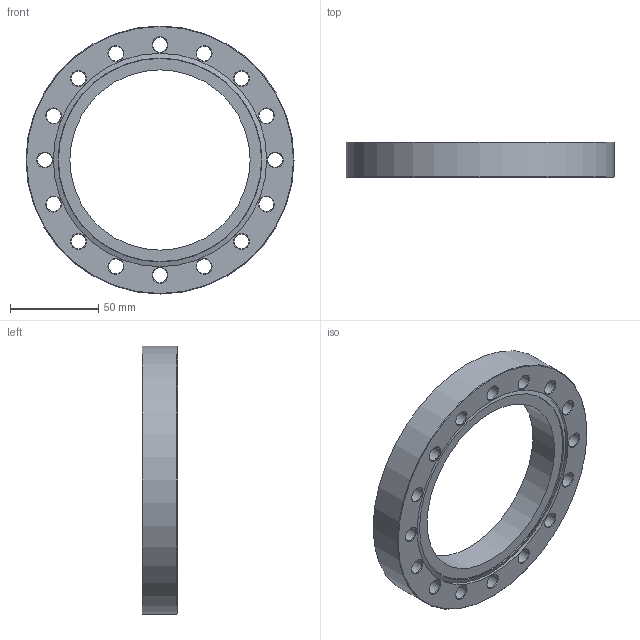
import cadquery as cq

outer_diameter = 151.6
thickness = 19.8
bore_diameter = 102.0
rim_chamfer = 0.3

counterbore_diameter = 106.0
counterbore_depth = 1.05

recess_diameter = 120.7
knife_diameter = 115.3
recess_depth = 1.7
knife_tip_depth = 0.75
knife_back_taper = 0.2
inner_land_depth = 1.35

bolt_count = 16
bolt_circle_diameter = 130.3
bolt_hole_diameter = 8.4
bolt_hole_chamfer = 0.3

front_y = -thickness / 2
back_y = thickness / 2


def flange_body():
    """Revolve the ring section, including the knife edge, about the Y axis."""
    outer_radius = outer_diameter / 2
    bore_radius = bore_diameter / 2
    counterbore_radius = counterbore_diameter / 2
    recess_radius = recess_diameter / 2
    knife_radius = knife_diameter / 2
    section = (
        cq.Workplane("YZ")
        .moveTo(back_y - counterbore_depth, bore_radius)
        .lineTo(back_y - counterbore_depth, counterbore_radius)
        .lineTo(back_y, counterbore_radius)
        .lineTo(back_y, outer_radius)
        .lineTo(front_y + rim_chamfer, outer_radius)
        .lineTo(front_y, outer_radius - rim_chamfer)
        .lineTo(front_y, recess_radius)
        .lineTo(front_y + recess_depth, recess_radius)
        .lineTo(front_y + knife_tip_depth, knife_radius)
        .lineTo(front_y + inner_land_depth, knife_radius - knife_back_taper)
        .lineTo(front_y + inner_land_depth, bore_radius)
        .close()
    )
    return section.revolve(360, (0, 0, 0), (1, 0, 0))


def bolt_hole_cutter():
    """Revolve one through-hole, chamfered at the sealing face, about the Y axis."""
    hole_radius = bolt_hole_diameter / 2
    cutter = (
        cq.Workplane("XY")
        .moveTo(0, front_y)
        .lineTo(hole_radius + bolt_hole_chamfer, front_y)
        .lineTo(hole_radius, front_y + bolt_hole_chamfer)
        .lineTo(hole_radius, back_y)
        .lineTo(0, back_y)
        .close()
        .revolve(360, (0, 0, 0), (0, 1, 0))
    )
    return cutter.translate((bolt_circle_diameter / 2, 0, 0))


def drill_bolt_holes(body):
    """Cut the evenly spaced bolt holes, starting on the +X axis."""
    cutter = bolt_hole_cutter()
    for index in range(bolt_count):
        angle = index * 360 / bolt_count
        body = body.cut(cutter.rotate((0, 0, 0), (0, 1, 0), angle))
    return body


result = drill_bolt_holes(flange_body())